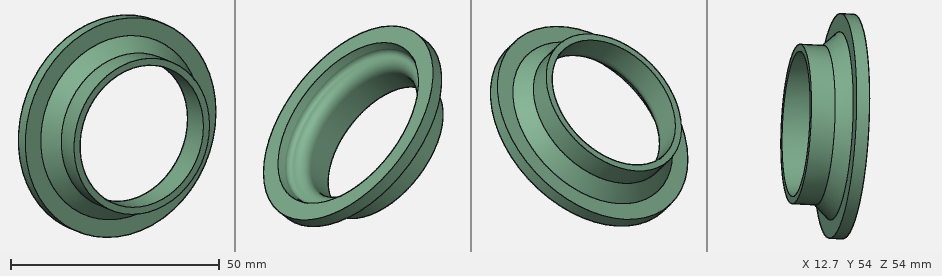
import cadquery as cq
import math

total_length = 12.7
flange_radius = 27.0
flange_thickness = 3.2
cone_base_radius = 22.6
neck_radius = 38.35 / 2
neck_start = 6.9

bore_radius = 34.9 / 2
mouth_radius = 22.35
mouth_end_radius = 21.75
mouth_depth = 2.0
hollow_radius = 1.4
crest_radius = mouth_end_radius - hollow_radius
crest_depth = mouth_depth + hollow_radius
round_radius = crest_radius - bore_radius
bore_start = crest_depth + round_radius

diagonal = math.sqrt(0.5)
hollow_middle = (
    mouth_depth + hollow_radius * diagonal,
    crest_radius + hollow_radius * diagonal,
)
round_middle = (
    bore_start - round_radius * diagonal,
    crest_radius - round_radius * diagonal,
)

section = (
    cq.Workplane("XY")
    .moveTo(0, mouth_radius)
    .lineTo(0, flange_radius)
    .lineTo(flange_thickness, flange_radius)
    .lineTo(flange_thickness, cone_base_radius)
    .lineTo(neck_start, neck_radius)
    .lineTo(total_length, neck_radius)
    .lineTo(total_length, bore_radius)
    .lineTo(bore_start, bore_radius)
    .threePointArc(round_middle, (crest_depth, crest_radius))
    .threePointArc(hollow_middle, (mouth_depth, mouth_end_radius))
    .close()
)

result = section.revolve(360, (0, 0, 0), (1, 0, 0))